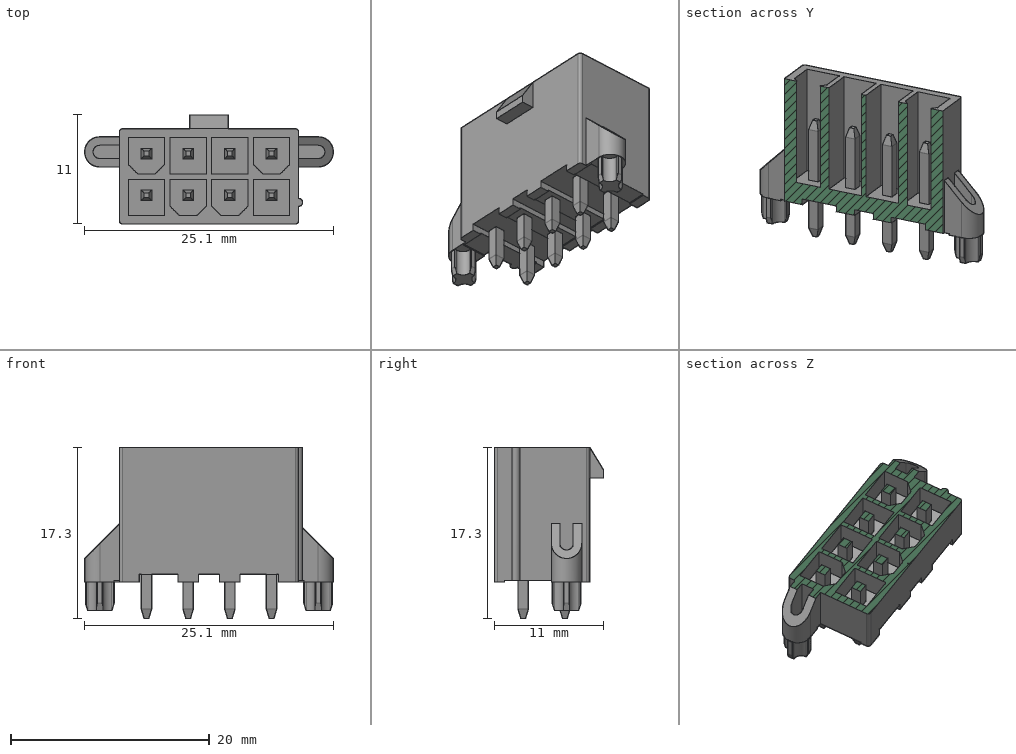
import cadquery as cq
import math


pitch = 4.2
columns = 4
rows = 2

body_width = 18.06
body_front = -5.0
body_back = 4.61
body_depth = body_back - body_front
body_middle = (body_front + body_back) / 2
body_height = 13.57
corner_radius = 0.33

cavity_size = 3.65
cavity_back_offset = 1.6
cavity_floor = 2.5
key_chamfer = 0.95
back_row_keys = (0, 3)
front_row_keys = (1, 2)

pin_width = 1.07
pin_tip_width = 0.48
pin_tip_length = 0.98
pin_bottom = -3.69
pin_top = 9.0

notch_height = 0.76
outer_notch_inside = 3.14
outer_notch_outside = 7.0
middle_notch_width = 2.1
relief_width = 19.16
relief_margin = 1.03
relief_height = 0.15

latch_width = 3.9
latch_reach = 6.0 - body_back
latch_height = 3.1
latch_lip = 0.83

rib_radius = 0.41
rib_y = -2.81

ear_x = 11.0
ear_y = 2.27
ear_radius = 1.53
ear_tip_height = 2.37
ear_slot_radius = 0.67
ear_slot_floor = 0.76

peg_radius = 1.46
peg_length = 2.87
peg_rib_tip_half = 0.24
peg_rib_half = 0.31
peg_bevel_radius = 1.36
peg_flute_start = 1.2
peg_taper_length = 0.74
peg_end_radius = 1.22


def box(x_min, x_max, y_min, y_max, z_min, z_max):
    return cq.Workplane("XY").box(
        x_max - x_min, y_max - y_min, z_max - z_min, centered=False
    ).translate((x_min, y_min, z_min))


def tapered_square(width, end_width, length, z, direction):
    """Square pyramid frustum narrowing from height z, up (1) or down (-1)."""
    return (
        cq.Workplane("XY", origin=(0, 0, z))
        .rect(width, width)
        .workplane(offset=direction * length)
        .rect(end_width, end_width)
        .loft(combine=True)
    )


def make_housing():
    return (
        cq.Workplane("XY", origin=(0, body_middle, 0))
        .rect(body_width, body_depth)
        .extrude(body_height)
        .edges("|Z")
        .fillet(corner_radius)
    )


def make_latch():
    bottom = body_height - latch_height
    tip = body_back + latch_reach
    return (
        cq.Workplane("YZ")
        .moveTo(body_back, bottom)
        .lineTo(tip, bottom)
        .lineTo(tip, bottom + latch_lip)
        .lineTo(body_back, body_height)
        .close()
        .extrude(latch_width / 2, both=True)
    )


def make_polarising_rib():
    return (
        cq.Workplane("XY", origin=(body_width / 2, rib_y, relief_height))
        .circle(rib_radius)
        .extrude(body_height - relief_height)
    )


def make_cavity(x, y, keyed):
    back = y + cavity_back_offset
    depth = body_height - cavity_floor
    cavity = (
        cq.Workplane("XY", origin=(x, back - cavity_size / 2, cavity_floor))
        .rect(cavity_size, cavity_size)
        .extrude(depth)
    )
    if keyed:
        cavity = cavity.edges("|Z and <Y").chamfer(key_chamfer)
    return cavity


def make_pin():
    shank_bottom = pin_bottom + pin_tip_length
    shank_top = pin_top - pin_tip_length
    half = pin_width / 2
    shank = box(-half, half, -half, half, shank_bottom, shank_top)
    lower_tip = tapered_square(pin_width, pin_tip_width, pin_tip_length, shank_bottom, -1)
    upper_tip = tapered_square(pin_width, pin_tip_width, pin_tip_length, shank_top, 1)
    return shank.union(lower_tip).union(upper_tip)


def make_underside_cut():
    half_middle = middle_notch_width / 2
    notches = (
        (-outer_notch_outside, -outer_notch_inside),
        (-half_middle, half_middle),
        (outer_notch_inside, outer_notch_outside),
    )
    cut = box(
        -relief_width / 2, relief_width / 2,
        body_front + relief_margin, body_back - relief_margin,
        0, relief_height,
    )
    for x_min, x_max in notches:
        cut = cut.union(box(x_min, x_max, body_front, body_back, 0, notch_height))
    return cut


def rounded_bar(radius, inner_x, z_min, z_max):
    """Bar from inner_x out to a round end about the ear axis."""
    bar = box(inner_x, ear_x, ear_y - radius, ear_y + radius, z_min, z_max)
    end = cq.Workplane("XY", origin=(ear_x, ear_y, z_min)).circle(radius).extrude(z_max - z_min)
    return bar.union(end)


def make_ear():
    """Slotted +X ear with its top sloping down at 45 degrees."""
    wall_x = body_width / 2
    tip_x = ear_x + ear_radius
    wall_height = ear_tip_height + tip_x - wall_x
    ear = rounded_bar(ear_radius, wall_x, 0, wall_height)
    slot = rounded_bar(ear_slot_radius, wall_x, ear_slot_floor, wall_height)
    slope_profile = (
        cq.Workplane("XZ", origin=(0, ear_y, 0))
        .moveTo(wall_x, 0)
        .lineTo(tip_x, 0)
        .lineTo(tip_x, ear_tip_height)
        .lineTo(wall_x, wall_height)
        .close()
        .extrude(ear_radius, both=True)
    )
    return ear.cut(slot).intersect(slope_profile)


def turned(point, quarter_turns):
    angle = quarter_turns * math.pi / 2
    x, y = point
    return (
        x * math.cos(angle) - y * math.sin(angle),
        x * math.sin(angle) + y * math.cos(angle),
    )


def make_peg():
    """Four-ribbed peg with concave flutes and a tapered lower end."""
    flute_radius = peg_flute_start - peg_rib_half
    flute_middle = peg_flute_start - flute_radius * math.sqrt(0.5)
    rib_outline = (
        (peg_bevel_radius, -peg_rib_half),
        (peg_radius, -peg_rib_tip_half),
        (peg_radius, peg_rib_tip_half),
        (peg_bevel_radius, peg_rib_half),
        (peg_flute_start, peg_rib_half),
    )
    profile = cq.Workplane("XY", origin=(0, 0, -peg_length)).moveTo(peg_flute_start, -peg_rib_half)
    for turn in range(4):
        for point in rib_outline:
            profile = profile.lineTo(*turned(point, turn))
        profile = profile.threePointArc(
            turned((flute_middle, flute_middle), turn),
            turned((peg_rib_half, peg_flute_start), turn),
        )
    fluted = profile.close().extrude(peg_length)

    taper_top = peg_taper_length - peg_length
    envelope = box(-peg_radius, peg_radius, -peg_radius, peg_radius, taper_top, 0)
    envelope = envelope.union(
        tapered_square(2 * peg_radius, 2 * peg_end_radius, peg_taper_length, taper_top, -1)
    )
    return fluted.intersect(envelope).translate((ear_x, ear_y, 0))


def make_mounts():
    right = make_ear().union(make_peg())
    return right, right.mirror("YZ")


housing = make_housing().union(make_latch()).union(make_polarising_rib())
for mount in make_mounts():
    housing = housing.union(mount)
housing = housing.cut(make_underside_cut())

pin = make_pin()
for row, keyed_columns in enumerate((front_row_keys, back_row_keys)):
    contact_y = (row - (rows - 1) / 2) * pitch
    for column in range(columns):
        contact_x = (column - (columns - 1) / 2) * pitch
        housing = housing.cut(make_cavity(contact_x, contact_y, column in keyed_columns))
        housing = housing.union(pin.translate((contact_x, contact_y, 0)))

result = housing